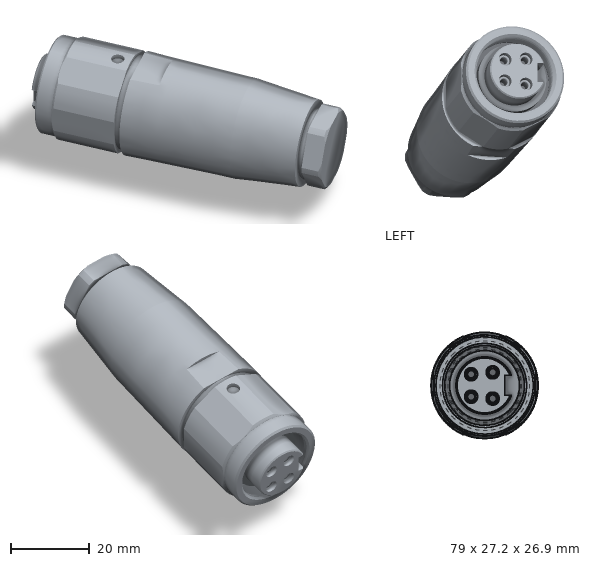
import cadquery as cq
import math


RING_START = 2.9
NUT_START = 7.5
NUT_END = 24.3
SHELL_START = 26.1
GRIP_END = 33.8
TAPER_START = 55.5
SHELL_END = 72.45
GLAND_START = 73.95
LENGTH = 79.0

RING_RADIUS = 12.8
RING_CHAMFER = 0.5
NUT_RADIUS = 26.9 / 2
NUT_ACROSS_FLATS = 25.9
NUT_CHAMFER = 0.6
NECK_RADIUS = 24.6 / 2
PIN_HOLE_DIAMETER = 3.4
PIN_HOLE_X = 20.85
PIN_HOLE_DEPTH = 1.35

MOUTH_RADIUS = 10.1
MOUTH_END = 8.85
THREAD_DEPTH = 0.55
THREAD_PITCH = 1.0
THREAD_COUNT = 5

INSERT_RADIUS = 7.3
INSERT_CHAMFER = 0.3
FLANGE_RADIUS = 8.85
FLANGE_START = 6.3
KEYWAY_WIDTH = 5.05
KEYWAY_FLOOR = 5.05
SOCKET_HOLE_RADIUS = 1.65
SOCKET_HOLE_DEPTH = 2.4
SLEEVE_RECESS = 1.4
SLEEVE_RADIUS = 1.5
SLEEVE_BORE_RADIUS = 0.95
SLEEVE_BORE_CHAMFER = 0.15
SLEEVE_BORE_DEPTH = 4.75
CONTACT_CENTRES = [(3.4, 2.85), (3.4, -2.85), (-2.05, 3.3), (-2.05, -3.3)]

SHELL_RADIUS = 27.2 / 2
SHELL_MIDDLE_RADIUS = 13.0
SHELL_END_RADIUS = 11.4
GRIP_ACROSS_FLATS = 24.9

GLAND_NECK_RADIUS = 9.0
GLAND_RIDGE_RADIUS = 9.3
GLAND_RADIUS = 10.7
GLAND_ACROSS_FLATS = 19.3
GLAND_CHAMFER_LENGTH = 0.55
GLAND_END_RADIUS = 9.95


def revolve_profile(points):
    """Turn a closed (x, radius) profile about the X axis."""
    return cq.Workplane("XY").polyline(points).close().revolve(360, (0, 0, 0), (1, 0, 0))


def cylinder(start, end, radius):
    return cq.Workplane("YZ", origin=(start, 0, 0)).circle(radius).extrude(end - start)


def hexagon(start, end, across_flats, turn):
    """Hexagonal prism along X; at zero turn two of its corners lie on the Y axis."""
    corner_diameter = across_flats / math.cos(math.pi / 6)
    plane = cq.Workplane("YZ", origin=(start, 0, 0)).transformed(rotate=(0, 0, turn))
    return plane.polygon(6, corner_diameter).extrude(end - start)


def coupling_ring():
    ring = cylinder(RING_START, NUT_START, RING_RADIUS)
    return ring.faces("<X").chamfer(RING_CHAMFER)


def coupling_nut():
    """Hexagon with flats facing +Y and -Y and its corners rounded to a cylinder."""
    blank = cylinder(NUT_START, NUT_END, NUT_RADIUS).faces("<X").chamfer(NUT_CHAMFER)
    nut = blank.intersect(hexagon(NUT_START, NUT_END, NUT_ACROSS_FLATS, 30))
    pin_hole = (
        cq.Workplane("XY", origin=(PIN_HOLE_X, 0, NUT_RADIUS - PIN_HOLE_DEPTH))
        .circle(PIN_HOLE_DIAMETER / 2)
        .extrude(2 * PIN_HOLE_DEPTH)
    )
    return nut.cut(pin_hole)


def threaded_mouth():
    """Void behind the front face: a bore with a chamfered entry and V thread grooves."""
    crest_to_root = THREAD_PITCH / 2
    points = [(RING_START, 0), (RING_START, MOUTH_RADIUS + THREAD_DEPTH)]
    for turn in range(THREAD_COUNT):
        crest = RING_START + crest_to_root + turn * THREAD_PITCH
        points.append((crest, MOUTH_RADIUS))
        points.append((crest + crest_to_root, MOUTH_RADIUS + THREAD_DEPTH))
    thread_end = RING_START + crest_to_root + THREAD_COUNT * THREAD_PITCH
    points.append((thread_end, MOUTH_RADIUS))
    points += [(MOUTH_END, MOUTH_RADIUS), (MOUTH_END, 0)]
    return revolve_profile(points)


def contact_insert():
    insert = cylinder(0, MOUTH_END, INSERT_RADIUS).faces("<X").chamfer(INSERT_CHAMFER)
    keyway = cq.Workplane("XY").box(
        FLANGE_START, INSERT_RADIUS, KEYWAY_WIDTH, centered=(False, False, True)
    )
    insert = insert.cut(keyway.translate((0, -KEYWAY_FLOOR - INSERT_RADIUS, 0)))
    return insert.union(cylinder(FLANGE_START, MOUTH_END, FLANGE_RADIUS))


def contact_void():
    """Hole in the insert face that leaves a bored, recessed contact sleeve standing inside it."""
    hole = cylinder(0, SOCKET_HOLE_DEPTH, SOCKET_HOLE_RADIUS)
    sleeve = cylinder(SLEEVE_RECESS, SOCKET_HOLE_DEPTH, SLEEVE_RADIUS)
    bore_entry_radius = SLEEVE_BORE_RADIUS + SLEEVE_BORE_CHAMFER
    bore = revolve_profile([
        (SLEEVE_RECESS, 0),
        (SLEEVE_RECESS, bore_entry_radius),
        (SLEEVE_RECESS + SLEEVE_BORE_CHAMFER, SLEEVE_BORE_RADIUS),
        (SLEEVE_BORE_DEPTH, SLEEVE_BORE_RADIUS),
        (SLEEVE_BORE_DEPTH, 0),
    ])
    return hole.cut(sleeve).union(bore)


def rear_shell():
    """Two tapered lengths with wrench flats on the top and bottom at the front."""
    shell = revolve_profile([
        (SHELL_START, 0),
        (SHELL_START, SHELL_RADIUS),
        (TAPER_START, SHELL_MIDDLE_RADIUS),
        (SHELL_END, SHELL_END_RADIUS),
        (SHELL_END, 0),
    ])
    for side in (1, -1):
        flat_cut = cq.Workplane("XY").box(
            GRIP_END - SHELL_START, 2 * SHELL_RADIUS, SHELL_RADIUS, centered=(False, True, True)
        )
        offset = side * (GRIP_ACROSS_FLATS + SHELL_RADIUS) / 2
        shell = shell.cut(flat_cut.translate((SHELL_START, 0, offset)))
    return shell


def gland_neck():
    """Short neck carrying one raised ridge midway between the shell and the gland."""
    middle = (SHELL_END + GLAND_START) / 2
    return revolve_profile([
        (SHELL_END, 0),
        (SHELL_END, GLAND_NECK_RADIUS),
        (middle, GLAND_RIDGE_RADIUS),
        (GLAND_START, GLAND_NECK_RADIUS),
        (GLAND_START, 0),
    ])


def gland_nut():
    """Hexagon with flats on the top and bottom, rounded corners and a coned rear end."""
    blank = revolve_profile([
        (GLAND_START, 0),
        (GLAND_START, GLAND_RADIUS),
        (LENGTH - GLAND_CHAMFER_LENGTH, GLAND_RADIUS),
        (LENGTH, GLAND_END_RADIUS),
        (LENGTH, 0),
    ])
    return blank.intersect(hexagon(GLAND_START, LENGTH, GLAND_ACROSS_FLATS, 0))


front = coupling_ring().union(coupling_nut()).cut(threaded_mouth())
front = front.union(contact_insert())
for contact_y, contact_z in CONTACT_CENTRES:
    front = front.cut(contact_void().translate((0, contact_y, contact_z)))
neck = cylinder(NUT_END, SHELL_START, NECK_RADIUS)
result = front.union(neck).union(rear_shell()).union(gland_neck()).union(gland_nut())